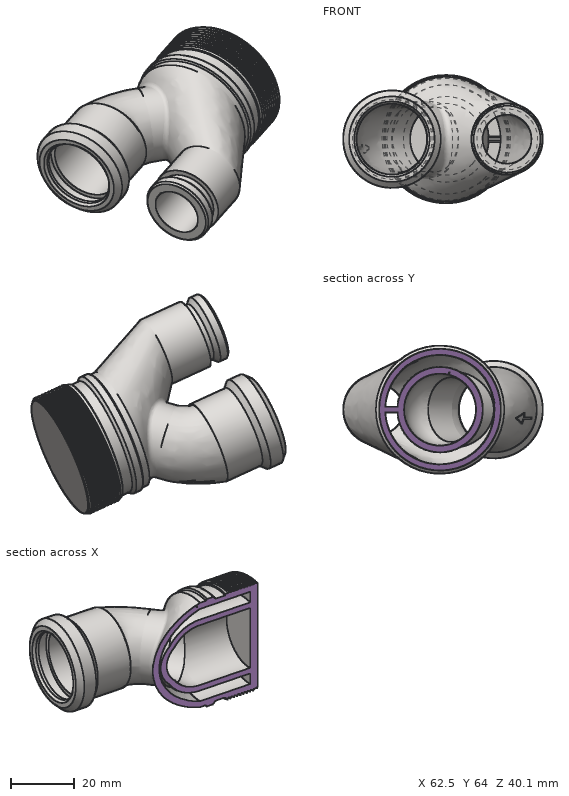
import cadquery as cq
import math


total_length = 64.0
port_spacing = 36.0
large_port_x = -16.9
small_port_x = large_port_x + port_spacing
port_top_y = 20.2
head_base_y = 42.4

thread_diameter = 40.13
thread_length = 12.2
thread_pitch = 1.2
thread_depth = 0.5
thread_crest_width = 0.16
thread_root_width = 1.0
thread_embed = 0.2
thread_lead_chamfer = 0.3
neck_diameter = 38.15
neck_length = 3.5
collar_diameter = thread_diameter
collar_length = 3.7
collar_upper_chamfer = 1.0
collar_lower_chamfer = 0.45
head_base_diameter = 39.0
neck_top_y = total_length - thread_length
collar_top_y = neck_top_y - neck_length
collar_bottom_y = collar_top_y - collar_length

large_pipe_top_y = port_top_y + 0.25
large_pipe_radius = 26.77 / 2
large_bead_radius = 30.57 / 2
large_bead_top_y = 8.2
large_bead_chamfer = large_bead_radius - large_pipe_radius
large_bore_radius = 11.1
large_mouth_radius = 11.8
large_mouth_depth = 0.9
seal_groove_radius = 24.97 / 2
seal_groove_start_y = 1.9
seal_groove_end_y = 5.6

small_pipe_radius = 11.2
small_flange_radius = 11.05
small_flange_edge = 0.6
small_flange_straight_y = 3.1
small_neck_radius = 19.0 / 2
small_neck_end_y = 6.6
small_bore_radius = 15.3 / 2
small_flange_neck_y = small_flange_straight_y + small_flange_radius - small_neck_radius

elbow_start_angle = 12.0
elbow_end_angle = 45.0
elbow_bend_radius = 22.5
elbow_end_radius = 11.8
elbow_middle_taper = 0.75
elbow_wall = 1.7
elbow_fillet = 1.5
seam_margin = 1.0
tube_radius = 13.4
tube_bore_radius = 11.2

head_bore_radius = 34.2 / 2
end_wall = 3.0
cavity_end_y = total_length - end_wall
rib_thickness = 1.9
rib_chamfer = 0.55
rib_start_y = 40.0
bore_overlap = 0.1

arrow_tip_y = 33.9
arrow_head_y = 29.9
arrow_tail_y = 24.4
arrow_z = -2.65
arrow_head_half_width = 1.75
arrow_shaft_half_width = 0.3
arrow_depth = 0.2


def turned(x, profile):
    """Solid of revolution about the line parallel to Y at x; profile is (radius, y)."""
    points = [(x + radius, y) for radius, y in profile]
    return cq.Workplane("XY").polyline(points).close().revolve(360, (x, 0, 0), (x, 1, 0))


def cylinder(x, radius, start_y, end_y):
    return turned(x, [(0, start_y), (radius, start_y), (radius, end_y), (0, end_y)])


def circle_wire(x, y, radius, angle=0.0):
    """Circle whose normal is turned from +Y towards +X by the angle in degrees."""
    turn = math.radians(angle)
    normal = cq.Vector(math.sin(turn), math.cos(turn), 0)
    return cq.Wire.makeCircle(radius, cq.Vector(x, y, 0), normal)


def elbow_center(angle):
    """Point on the elbow centre line where its direction makes the angle with +Y."""
    start = math.radians(elbow_start_angle)
    turn = math.radians(angle)
    x = large_port_x + elbow_bend_radius * (math.cos(start) - math.cos(turn))
    y = port_top_y + elbow_bend_radius * (math.sin(turn) - math.sin(start))
    return x, y


elbow_end_x, elbow_end_y = elbow_center(elbow_end_angle)
joint_y = elbow_end_y - elbow_end_x / math.tan(math.radians(elbow_end_angle))


def elbow(start_radius, end_radius):
    """Tapered bend followed by a straight run to the head axis."""
    middle_angle = (elbow_start_angle + elbow_end_angle) / 2
    middle_radius = start_radius + (end_radius - start_radius) * elbow_middle_taper
    bend = cq.Solid.makeLoft([
        circle_wire(large_port_x, port_top_y, start_radius),
        circle_wire(*elbow_center(middle_angle), middle_radius, middle_angle),
        circle_wire(elbow_end_x, elbow_end_y, end_radius, elbow_end_angle),
    ])
    run = cq.Solid.makeLoft([
        circle_wire(elbow_end_x, elbow_end_y, end_radius, elbow_end_angle),
        circle_wire(0, joint_y, end_radius, elbow_end_angle),
    ])
    return cq.Workplane(bend).union(cq.Workplane(run))


def central_tube(radius, end_y):
    """Tube on the head axis with a ball end where the elbow joins it."""
    ball = cq.Workplane("XY").sphere(radius).translate((0, joint_y, 0))
    return cylinder(0, radius, joint_y, end_y).union(ball)


def branch(small_radius, large_radius):
    """Straight tapered passage from the small port to the head."""
    return cq.Workplane(cq.Solid.makeLoft([
        circle_wire(small_port_x, port_top_y, small_radius),
        circle_wire(0, head_base_y, large_radius),
    ], True))


def threaded_ring():
    """Core cylinder with one helical ridge, right-handed about +Y."""
    crest_radius = thread_diameter / 2
    root_radius = crest_radius - thread_depth
    core = cylinder(0, root_radius, neck_top_y, total_length)
    core = core.faces(">Y").chamfer(thread_lead_chamfer)
    ridge_length = thread_length - thread_pitch
    helix = cq.Wire.makeHelix(thread_pitch, ridge_length, crest_radius)
    embedded_radius = root_radius - thread_embed
    half_root = thread_root_width / 2
    half_crest = thread_crest_width / 2
    ridge = (
        cq.Workplane("XZ")
        .polyline([
            (embedded_radius, -half_root),
            (crest_radius, -half_crest),
            (crest_radius, half_crest),
            (embedded_radius, half_root),
        ])
        .close()
        .sweep(cq.Workplane(helix), isFrenet=True)
        .rotate((0, 0, 0), (1, 0, 0), -90)
        .translate((0, neck_top_y + thread_pitch / 2, 0))
    )
    return core.union(ridge)


def head():
    collar_radius = collar_diameter / 2
    neck_radius = neck_diameter / 2
    base_radius = head_base_diameter / 2
    plain = turned(0, [
        (0, head_base_y),
        (base_radius, head_base_y),
        (base_radius, collar_bottom_y),
        (collar_radius, collar_bottom_y + collar_lower_chamfer),
        (collar_radius, collar_top_y - collar_upper_chamfer),
        (neck_radius, collar_top_y),
        (neck_radius, neck_top_y),
        (0, neck_top_y),
    ])
    return plain.union(threaded_ring())


def large_port():
    return turned(large_port_x, [
        (0, 0),
        (large_pipe_radius, 0),
        (large_bead_radius, large_bead_chamfer),
        (large_bead_radius, large_bead_top_y - large_bead_chamfer),
        (large_pipe_radius, large_bead_top_y),
        (large_pipe_radius, large_pipe_top_y),
        (0, large_pipe_top_y),
    ])


def large_port_bore():
    return turned(large_port_x, [
        (0, 0),
        (large_mouth_radius, 0),
        (large_bore_radius, large_mouth_depth),
        (large_bore_radius, seal_groove_start_y),
        (seal_groove_radius, seal_groove_start_y),
        (seal_groove_radius, seal_groove_end_y),
        (large_bore_radius, seal_groove_end_y),
        (large_bore_radius, large_pipe_top_y),
        (0, large_pipe_top_y),
    ])


def small_port():
    return turned(small_port_x, [
        (0, 0),
        (small_flange_radius - small_flange_edge, 0),
        (small_flange_radius, small_flange_edge),
        (small_flange_radius, small_flange_straight_y),
        (small_neck_radius, small_flange_neck_y),
        (small_neck_radius, small_neck_end_y),
        (small_pipe_radius, small_neck_end_y),
        (small_pipe_radius, port_top_y),
        (0, port_top_y),
    ])


def elbow_seam(body):
    """Edges where the elbow leaves the branch and the head base."""
    free_curves = body.edges("(not %CIRCLE) and (not %LINE) and (not %ELLIPSE)")
    return free_curves.filter(lambda edge: edge.BoundingBox().ymin > port_top_y + seam_margin)


def outer_shape():
    """All outer surfaces, with the seam around the elbow rounded."""
    base = cylinder(0, head_base_diameter / 2, head_base_y, collar_bottom_y)
    body = branch(small_pipe_radius, head_base_diameter / 2).union(base)
    body = body.union(elbow(large_pipe_radius, elbow_end_radius))
    body = elbow_seam(body).fillet(elbow_fillet)
    return body.union(head()).union(large_port()).union(small_port())


def ring_space():
    """Passage from the small port into the space around the central tube."""
    space = branch(small_bore_radius, head_bore_radius)
    space = space.union(cylinder(small_port_x, small_bore_radius, 0, port_top_y + bore_overlap))
    space = space.union(cylinder(0, head_bore_radius, head_base_y - bore_overlap, cavity_end_y))
    space = space.cut(elbow(large_pipe_radius, elbow_end_radius))
    space = space.cut(central_tube(tube_radius, cavity_end_y))
    return space.cut(rib())


def rib():
    """Web on the small-port side joining the central tube to the head wall."""
    length_y = cavity_end_y - rib_start_y
    web = cq.Workplane("XY").box(head_bore_radius, length_y, rib_thickness, centered=(False, False, True))
    return web.faces("<Y").edges("|X").chamfer(rib_chamfer).translate((0, rib_start_y, 0))


def tube_passage():
    """Passage from the large port through the elbow to the end of the central tube."""
    passage = elbow(large_bore_radius, elbow_end_radius - elbow_wall)
    passage = passage.union(central_tube(tube_bore_radius, cavity_end_y))
    return passage.union(large_port_bore())


def flow_arrow():
    """Shallow arrow pointing towards the head, following the elbow surface."""
    prism = (
        cq.Workplane("YZ", origin=(large_port_x, 0, 0))
        .polyline([
            (arrow_tip_y, arrow_z),
            (arrow_head_y, arrow_z + arrow_head_half_width),
            (arrow_head_y, arrow_z + arrow_shaft_half_width),
            (arrow_tail_y, arrow_z + arrow_shaft_half_width),
            (arrow_tail_y, arrow_z - arrow_shaft_half_width),
            (arrow_head_y, arrow_z - arrow_shaft_half_width),
            (arrow_head_y, arrow_z - arrow_head_half_width),
        ])
        .close()
        .extrude(-2 * large_pipe_radius)
    )
    return prism.cut(elbow(large_pipe_radius - arrow_depth, elbow_end_radius - arrow_depth))


result = outer_shape().cut(ring_space()).cut(tube_passage()).cut(flow_arrow())